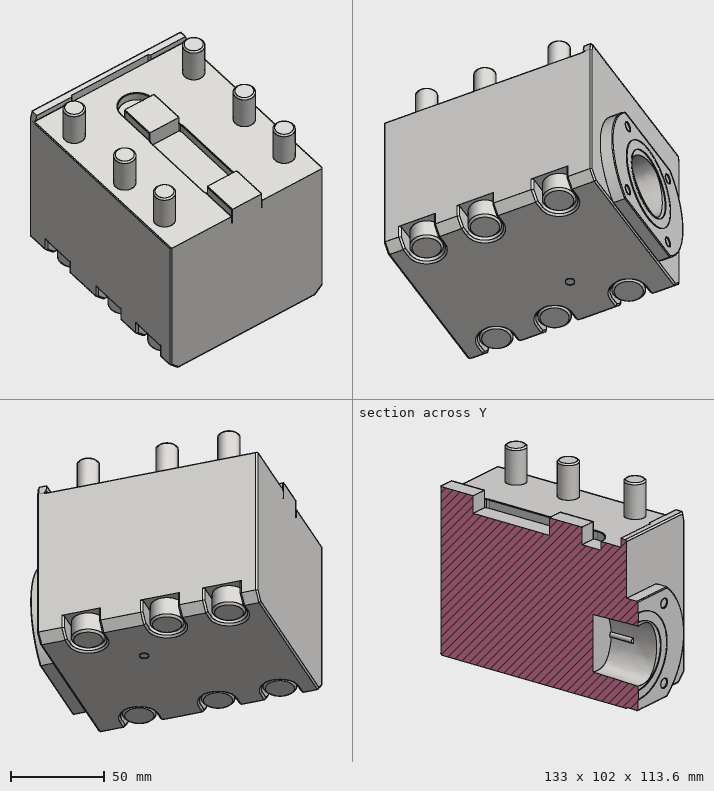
import cadquery as cq
import math

length = 133.0
front_x = 8.0
width = 102.0
deck_z = 92.3
bottom_chamfer = 5.0
edge_chamfer = 0.9
fine_chamfer = 0.5

lip_height = 5.0
lip_thickness = 5.0
lip_end_slant = 1.2
lip_relief = 1.0
lip_relief_length = 53.2
lip_undercut = 1.0
lip_undercut_height = 1.6

axis_z = 32.2
flange_diameter = 81.5
flange_height = 63.2
seat_diameter = 50.0
seat_height = 0.5
socket_recess_diameter = 39.2
socket_recess_depth = 0.5
socket_radius = 17.5
socket_lobe = 1.2
socket_depth = 29.9
socket_taper = 0.025
socket_points = 48
socket_pin_diameter = 3.0
socket_pin_y = -15.8
socket_pin_length = 14.6
flange_hole_offset = 23.0
flange_hole_diameter = 5.9
flange_hole_depth = 0.4

screw_xs = (33.1, 77.8, 112.9)
screw_y = 40.0
shank_diameter = 12.0
shank_top_z = 113.2
head_diameter = 18.0
head_bottom_z = 1.3
head_chamfer = 1.2
pocket_width = 20.0
pocket_depth = 12.8
pocket_flare = 1.0

slot_start_x = 25.4
slot_width = 20.2
slot_depth = 5.0
slot_chamfer = 0.4
wide_slot_x = (58.7, 112.3)
wide_slot_width = 21.0
wide_slot_radius = 4.0
key_length = 22.1
key_top_z = deck_z + lip_height
key_front_xs = (37.9, length - key_length)

pad_x = 56.7
pad_y = -17.4
pad_diameter = 5.0
pad_height = 0.4


def cylinder(diameter, x, y, z_bottom, z_top):
    """Vertical cylinder between two heights."""
    disc = cq.Workplane("XY", origin=(x, y, z_bottom)).circle(diameter / 2)
    return disc.extrude(z_top - z_bottom)


def front_plane(x):
    """Plane across the spindle axis; local x is +Y, local y is +Z, extrusion goes +X."""
    return cq.Workplane("YZ", origin=(x, 0, axis_z))


def box(x_start, x_end, box_width, z_bottom, z_top):
    """Box centred on Y = 0."""
    base = cq.Workplane("XY", origin=((x_start + x_end) / 2, 0, z_bottom))
    return base.rect(x_end - x_start, box_width).extrude(z_top - z_bottom)


def make_body():
    half = width / 2
    lip_z = deck_z + lip_height
    section = [
        (-half, bottom_chamfer),
        (-half, deck_z),
        (-half + lip_end_slant, lip_z),
        (half - lip_end_slant, lip_z),
        (half, deck_z),
        (half, bottom_chamfer),
        (half - bottom_chamfer, 0),
        (-half + bottom_chamfer, 0),
    ]
    block = cq.Workplane("YZ", origin=(front_x, 0, 0)).polyline(section).close()
    block = block.extrude(length - front_x)
    block = block.faces("<X or >X").edges().chamfer(edge_chamfer)

    lip_back_x = front_x + lip_thickness
    block = block.cut(box(lip_back_x, length, 2 * width, deck_z, 2 * deck_z))
    block = block.edges("|X").edges(cq.selectors.BoxSelector(
        (lip_back_x, -width, deck_z - fine_chamfer),
        (length, width, deck_z + fine_chamfer),
    )).chamfer(fine_chamfer)

    relief = cq.Workplane("XY", origin=(0, 0, deck_z)).polyline([
        (lip_back_x, -lip_relief_length / 2),
        (lip_back_x - lip_relief, -lip_relief_length / 2 + lip_relief),
        (lip_back_x - lip_relief, lip_relief_length / 2 - lip_relief),
        (lip_back_x, lip_relief_length / 2),
    ]).close().extrude(lip_height)

    undercut = cq.Workplane("XZ", origin=(0, width / 2, 0)).polyline([
        (lip_back_x - lip_undercut, deck_z),
        (lip_back_x, deck_z + lip_undercut_height),
        (lip_back_x, deck_z),
    ]).close().extrude(width)
    return block.cut(relief).cut(undercut)


def make_flange():
    flange_x = seat_height
    disc = front_plane(flange_x).circle(flange_diameter / 2).extrude(front_x - flange_x)
    flats = front_plane(flange_x).rect(flange_diameter, flange_height).extrude(front_x - flange_x)
    flange = disc.intersect(flats).faces("<X").edges().chamfer(fine_chamfer)
    seat = front_plane(0).circle(seat_diameter / 2).extrude(front_x)

    hole_radius = flange_hole_diameter / 2
    holes = (
        front_plane(flange_x)
        .rect(2 * flange_hole_offset, 2 * flange_hole_offset, forConstruction=True)
        .vertices()
        .circle(hole_radius)
        .extrude(flange_hole_depth, taper=45)
    )
    return flange.cut(holes).union(seat)


def socket_outline(mean_radius):
    """Three-lobed curve of constant width with one lobe pointing to +Y."""
    points = []
    for i in range(socket_points):
        angle = 2 * math.pi * i / socket_points
        reach = mean_radius + socket_lobe * math.cos(3 * angle)
        slope = -3 * socket_lobe * math.sin(3 * angle)
        points.append((
            reach * math.cos(angle) - slope * math.sin(angle),
            reach * math.sin(angle) + slope * math.cos(angle),
        ))
    return points


def make_socket():
    recess = front_plane(0).circle(socket_recess_diameter / 2).extrude(socket_recess_depth)
    end_radius = socket_radius - socket_taper * socket_depth
    polygon = (
        front_plane(socket_recess_depth)
        .spline(socket_outline(socket_radius), periodic=True)
        .close()
        .workplane(offset=socket_depth)
        .spline(socket_outline(end_radius), periodic=True)
        .close()
        .loft(combine=True)
    )
    return recess.union(polygon)


def make_socket_pin():
    """Pin half sunk in the socket wall, running up from the socket floor."""
    floor_x = socket_recess_depth + socket_depth
    pin = front_plane(floor_x).center(socket_pin_y, 0).circle(socket_pin_diameter / 2)
    return pin.extrude(-socket_pin_length)


def cut_head_pocket(body, x, side):
    """Cut a screw-head pocket open to the underside and the side face, with a flared mouth."""
    center_y = side * screw_y
    outer_y = side * width / 2
    half = pocket_width / 2
    bore = cylinder(pocket_width, x, center_y, 0, pocket_depth)
    opening = cq.Workplane("XY", origin=(x, (center_y + outer_y) / 2, 0))
    opening = opening.rect(pocket_width, width / 2 - screw_y).extrude(pocket_depth)
    body = body.cut(bore.union(opening))

    mouth = cq.selectors.BoxSelector(
        (x - half - pocket_flare, center_y + side * pocket_flare, -pocket_flare),
        (x + half + pocket_flare, outer_y + side * pocket_flare, pocket_depth - pocket_flare),
    )
    return body.edges(mouth).chamfer(pocket_flare)


def make_screw(x, y):
    shank = cylinder(shank_diameter, x, y, deck_z - slot_depth, shank_top_z)
    shank = shank.faces(">Z").edges().chamfer(edge_chamfer)
    head = cylinder(head_diameter, x, y, head_bottom_z, pocket_depth)
    head = head.faces("<Z").edges().chamfer(head_chamfer)
    return shank.union(head)


def cut_key_slot(body):
    """Cut the round-ended slot, widened between the keys, with a chamfered rim."""
    floor_z = deck_z - slot_depth
    round_x = slot_start_x + slot_width / 2
    slot = box(round_x, length, slot_width, floor_z, deck_z)
    slot = slot.union(cylinder(slot_width, round_x, 0, floor_z, deck_z))
    rim = cq.selectors.BoxSelector(
        (slot_start_x - slot_chamfer, -slot_width, deck_z - slot_chamfer),
        (length - slot_chamfer, slot_width, deck_z + slot_chamfer),
    )
    body = body.cut(slot).edges(rim).chamfer(slot_chamfer)

    start_x, end_x = wide_slot_x
    walls = box(start_x, end_x, wide_slot_width, floor_z, deck_z)
    walls = walls.edges("|Z").fillet(wide_slot_radius)
    flare = box(
        start_x - slot_chamfer,
        end_x + slot_chamfer,
        wide_slot_width + 2 * slot_chamfer,
        deck_z - slot_chamfer,
        deck_z + slot_chamfer,
    )
    flare = flare.edges("|Z").fillet(wide_slot_radius + slot_chamfer)
    flare = flare.faces("<Z").edges().chamfer(slot_chamfer)
    return body.cut(walls).cut(flare)


def make_key(x_start):
    key = box(x_start, x_start + key_length, slot_width, deck_z - slot_depth, key_top_z)
    return key.edges("|X and >Z or |Z").chamfer(slot_chamfer)


result = cut_key_slot(make_body())

for key_x in key_front_xs:
    result = result.union(make_key(key_x))

for screw_x in screw_xs:
    for side in (-1, 1):
        result = cut_head_pocket(result, screw_x, side)
        result = result.union(make_screw(screw_x, side * screw_y))

result = result.union(make_flange()).cut(make_socket()).union(make_socket_pin())
result = result.union(cylinder(pad_diameter, pad_x, pad_y, -pad_height, 0))